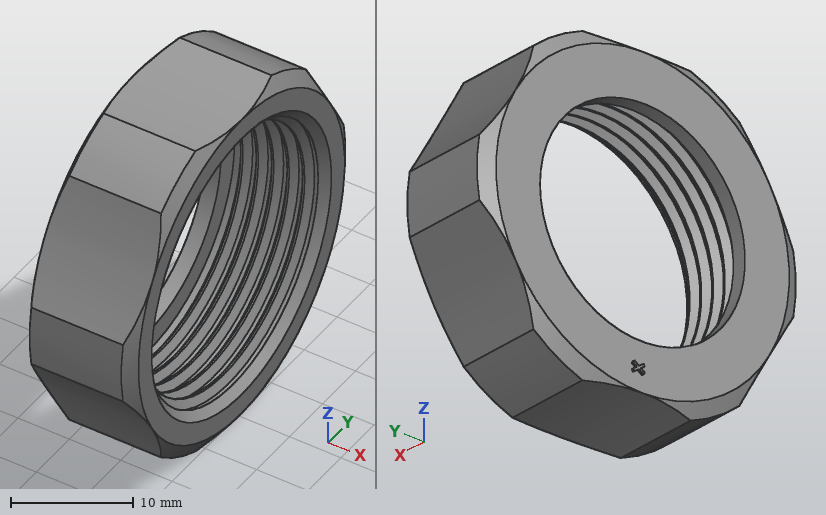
import cadquery as cq
import math

body_length = 10.5
corner_diameter = 33.94
width_over_flat_edges = 31.93
width_over_flat_middles = 31.2
chamfer_angle = 30.0
side_count = 6

lip_bore_diameter = 21.8
lip_length = 1.5
thread_crest_diameter = 24.4
thread_root_diameter = 25.9
thread_pitch = 1.5
crest_width = 0.2
flank_length = 0.47
first_crest_start = 2.6
mouth_diameter = 27.2
mouth_angle = 45.0

cross_height = 0.2
cross_center_y = 0.55
cross_center_z = -13.5
cross_span_y = 1.2
cross_span_z = 0.85
cross_bar_width = 0.25

corner_radius = corner_diameter / 2
middle_radius = width_over_flat_middles / 2
lip_bore_radius = lip_bore_diameter / 2
crest_radius = thread_crest_diameter / 2
root_radius = thread_root_diameter / 2
mouth_radius = mouth_diameter / 2


def polar_point(radius, angle):
    return (radius * math.cos(angle), radius * math.sin(angle))


def make_hexagonal_body():
    """Six slightly concave sides joined by round corners, with a corner on the Y axis."""
    side_angle = 2 * math.pi / side_count
    half_flat_angle = math.acos(width_over_flat_edges / corner_diameter)
    half_corner_angle = side_angle / 2 - half_flat_angle
    outline = cq.Workplane("YZ").moveTo(*polar_point(corner_radius, -half_corner_angle))
    for side in range(side_count):
        corner = side * side_angle
        corner_end = corner + half_corner_angle
        next_corner_start = corner + side_angle - half_corner_angle
        outline = outline.threePointArc(
            polar_point(corner_radius, corner),
            polar_point(corner_radius, corner_end),
        )
        outline = outline.threePointArc(
            polar_point(middle_radius, corner + side_angle / 2),
            polar_point(corner_radius, next_corner_start),
        )
    return outline.close().extrude(body_length)


def make_chamfer_envelope():
    """Turned blank whose conical ends trim the corners of the body."""
    chamfer_depth = corner_radius - middle_radius
    chamfer_length = chamfer_depth * math.tan(math.radians(chamfer_angle))
    profile = [
        (0, 0),
        (0, middle_radius),
        (chamfer_length, corner_radius),
        (body_length - chamfer_length, corner_radius),
        (body_length, middle_radius),
        (body_length, 0),
    ]
    return cq.Workplane("XY").polyline(profile).close().revolve(360, (0, 0, 0), (1, 0, 0))


def make_threaded_bore():
    """Plain bore through the lip, then evenly pitched thread ridges up to the +X end."""
    profile = [
        (0, 0),
        (0, lip_bore_radius),
        (lip_length, lip_bore_radius),
        (lip_length, root_radius),
    ]
    full_ridge_count = math.floor((body_length - first_crest_start) / thread_pitch)
    for ridge in range(full_ridge_count):
        crest_start = first_crest_start + ridge * thread_pitch
        crest_end = crest_start + crest_width
        profile += [
            (crest_start - flank_length, root_radius),
            (crest_start, crest_radius),
            (crest_end, crest_radius),
            (crest_end + flank_length, root_radius),
        ]
    last_crest_start = first_crest_start + full_ridge_count * thread_pitch
    profile += [
        (last_crest_start - flank_length, root_radius),
        (last_crest_start, crest_radius),
        (body_length, crest_radius),
        (body_length, 0),
    ]
    return cq.Workplane("XY").polyline(profile).close().revolve(360, (0, 0, 0), (1, 0, 0))


def make_mouth():
    """Cone that flares the thread at the +X end."""
    cone_length = mouth_radius / math.tan(math.radians(mouth_angle))
    profile = [
        (body_length - cone_length, 0),
        (body_length, mouth_radius),
        (body_length, 0),
    ]
    return cq.Workplane("XY").polyline(profile).close().revolve(360, (0, 0, 0), (1, 0, 0))


def make_raised_cross():
    """Two crossed bars standing on the -X face."""
    bar_length = math.hypot(cross_span_y, cross_span_z) - cross_bar_width / 2
    tilt = math.degrees(math.atan2(cross_span_z, cross_span_y))
    bars = cq.Workplane("YZ")
    for angle in (tilt, -tilt):
        bar = cq.Workplane("YZ").rect(bar_length, cross_bar_width).extrude(-cross_height)
        bars = bars.union(bar.rotate((0, 0, 0), (1, 0, 0), angle))
    return bars.translate((0, cross_center_y, cross_center_z))


body = make_hexagonal_body().intersect(make_chamfer_envelope())
result = body.cut(make_threaded_bore()).cut(make_mouth()).union(make_raised_cross())